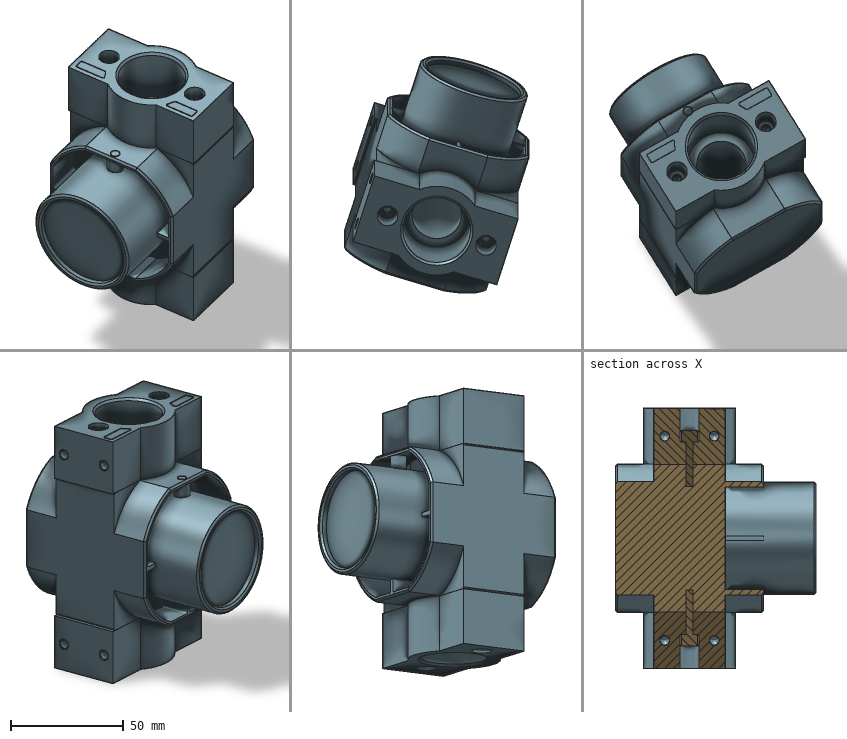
import cadquery as cq
import math


length = 116.0
overall_depth = 89.4
cube = 66.0
wall = 2.0
corner_radius = 35.7
core_half = 16.0
rim_chamfer = 0.9
core_chamfer = 0.7
passage_dia = 22.0
half_cube = cube / 2

rib_thickness = 2.0
rib_fillet = 0.7
column_dia = 39.0

overhang = 1.0
lug_dia = 41.2
bore_dia = 30.0
bore_chamfer = 1.0
block_height = length / 2 - half_cube
block_left = -half_cube - overhang
block_right = half_cube

tap_spacing = 22.0
tap_mouth_dia = 5.0
tap_dia = 4.2
tap_depth = 10.0
drill_tip_angle = 118.0

label_depth = 0.2
label_margin = 2.3
label_inner_x = 16.4
label_slant = 2.2
label_near_y = -13.7
label_far_y = -9.2
label_fillet = 0.7

screw_x = 23.0
counterbore_dia = 9.0
counterbore_depth = 15.0
head_dia = 8.5
head_height = 5.0
head_chamfer = 0.6
shank_dia = 5.0
shank_length = 20.0
socket_mouth_dia = 4.2
socket_dia = 3.8
socket_depth = 2.5

cylinder_dia = 50.0
cylinder_front = overall_depth - half_cube
cylinder_chamfer = 0.9
recess_dia = 44.0
recess_depth = 3.0
recess_chamfer = 0.9

boss_dia = 7.3
set_screw_dia = 4.2
set_screw_chamfer = 0.17
set_screw_y = -half_cube + boss_dia / 2


def box(x0, x1, y0, y1, z0, z1):
    """Box between two opposite corners."""
    return cq.Workplane("XY").box(x1 - x0, y1 - y0, z1 - z0, centered=False).translate((x0, y0, z0))


def y_cylinder(diameter, y0, y1):
    """Round bar along Y, on the cylinder axis."""
    return cq.Workplane("XZ", origin=(0, y0, 0)).circle(diameter / 2).extrude(y0 - y1)


def z_cylinder(diameter, z0, z1, x=0.0, y=0.0):
    """Round bar along Z."""
    return cq.Workplane("XY", origin=(x, y, z0)).circle(diameter / 2).extrude(z1 - z0)


def drilled_hole(mouth_dia, diameter, depth):
    """Cutter down from the origin: countersunk mouth, straight hole and drill-point bottom."""
    countersink = (mouth_dia - diameter) / 2
    tip = diameter / 2 / math.tan(math.radians(drill_tip_angle / 2))
    profile = [
        (0, 0),
        (mouth_dia / 2, 0),
        (diameter / 2, -countersink),
        (diameter / 2, -depth),
        (0, -depth - tip),
    ]
    return cq.Workplane("XZ").polyline(profile).close().revolve(360, (0, 0, 0), (0, 1, 0))


def rounded_square(half_side, radius, y0, y1):
    """Square prism along Y whose corners are cut back to a concentric cylinder."""
    prism = box(-half_side, half_side, y0, y1, -half_side, half_side)
    return prism.intersect(y_cylinder(2 * radius, y0, y1))


def make_pocket():
    """Cutter for the space around the cylinder, leaving ribs, column and set screw boss."""
    reach = half_cube - wall
    half_rib = rib_thickness / 2
    pocket = rounded_square(reach, corner_radius - wall, -half_cube, -core_half)
    pocket = pocket.cut(box(-reach, reach, -half_cube, -core_half, -half_rib, half_rib))
    pocket = pocket.cut(box(-half_rib, half_rib, -half_cube, -core_half, -reach, 0))
    rib_roots = [(reach, half_rib), (reach, -half_rib), (-reach, half_rib), (-reach, -half_rib)]
    rib_roots += [(half_rib, -reach), (-half_rib, -reach)]
    middle_y = -(half_cube + core_half) / 2
    for x, z in rib_roots:
        pocket = pocket.edges(cq.NearestToPointSelector((x, middle_y, z))).fillet(rib_fillet)
    pocket = pocket.cut(z_cylinder(column_dia, -reach, reach))
    return pocket.cut(z_cylinder(boss_dia, 0, reach, y=set_screw_y))


def make_housing(screws):
    """Cross-shaped centre body with the cylinder pocket in front and holes that fit the screws."""
    drum = rounded_square(half_cube, corner_radius, -half_cube, half_cube)
    drum = drum.faces("<Y or >Y").edges().chamfer(rim_chamfer)
    core = box(-half_cube, half_cube, -core_half, core_half, -half_cube, half_cube)
    core = core.edges("|Y").chamfer(core_chamfer)
    body = drum.union(core).cut(make_pocket())
    body = body.cut(y_cylinder(cylinder_dia, -cylinder_front, -core_half))
    body = body.cut(z_cylinder(passage_dia, -half_cube, half_cube))
    body = body.cut(z_cylinder(set_screw_dia, 0, half_cube, y=set_screw_y))
    for screw in screws:
        body = body.cut(screw)
    return body


def label_recess(outer_x, side):
    """Cutter for one label; side is -1 left of the bore and 1 right of it."""
    outline = [
        (outer_x, label_near_y),
        (side * label_inner_x, label_near_y),
        (side * (label_inner_x + label_slant), label_far_y),
        (outer_x, label_far_y),
    ]
    cutter = cq.Workplane("XY", origin=(0, 0, length / 2 - label_depth)).polyline(outline).close()
    return cutter.extrude(label_depth).edges("|Z").fillet(label_fillet)


def make_upper_block():
    """End block above the housing, without its labels."""
    top = length / 2
    slab = box(block_left, block_right, -core_half, core_half, half_cube, top)
    block = slab.union(z_cylinder(lug_dia, half_cube, top))
    block = block.cut(z_cylinder(bore_dia, half_cube, top))
    block = block.faces(">Z").edges(cq.selectors.RadiusNthSelector(0)).chamfer(bore_chamfer)
    for x in (-screw_x, screw_x):
        block = block.cut(z_cylinder(counterbore_dia, top - counterbore_depth, top, x))
        block = block.cut(z_cylinder(shank_dia, half_cube, top, x))
    tap = drilled_hole(tap_mouth_dia, tap_dia, tap_depth).rotate((0, 0, 0), (0, 1, 0), -90)
    for y in (-tap_spacing / 2, tap_spacing / 2):
        block = block.cut(tap.translate((block_left, y, half_cube + block_height / 2)))
    return block


def make_block_screw(x):
    """Socket screw that holds the upper block on the housing."""
    seat = length / 2 - counterbore_depth
    head = z_cylinder(head_dia, seat, seat + head_height, x).faces(">Z").edges().chamfer(head_chamfer)
    screw = head.union(z_cylinder(shank_dia, seat - shank_length, seat, x))
    socket = drilled_hole(socket_mouth_dia, socket_dia, socket_depth)
    return screw.cut(socket.translate((x, 0, seat + head_height)))


def make_cylinder():
    """Cylinder in the front pocket, with a shallow recess in its end face."""
    body = y_cylinder(cylinder_dia, -cylinder_front, -core_half)
    body = body.faces("<Y").edges().chamfer(cylinder_chamfer)
    recess = y_cylinder(recess_dia, -cylinder_front, -cylinder_front + recess_depth)
    body = body.cut(recess)
    return body.faces("<Y").edges(cq.selectors.RadiusNthSelector(0)).chamfer(recess_chamfer)


def make_set_screw():
    """Headless screw flush with the housing and resting on the cylinder."""
    screw = z_cylinder(set_screw_dia, cylinder_dia / 2, half_cube, y=set_screw_y)
    return screw.faces(">Z").edges().chamfer(set_screw_chamfer)


upper_screws = [make_block_screw(x) for x in (-screw_x, screw_x)]
lower_screws = [screw.mirror("XY") for screw in upper_screws]
block_screws = upper_screws + lower_screws

housing = make_housing(block_screws)
upper_block = make_upper_block()
lower_block = upper_block.mirror("XY")
upper_block = upper_block.cut(label_recess(block_left + label_margin, -1))
upper_block = upper_block.cut(label_recess(block_right - label_margin, 1))
cylinder = make_cylinder()
set_screw = make_set_screw()

result = cq.Compound.makeCompound(
    [
        housing.val(),
        upper_block.val(),
        lower_block.val(),
        cylinder.val(),
        set_screw.val(),
        *[screw.val() for screw in block_screws],
    ]
)